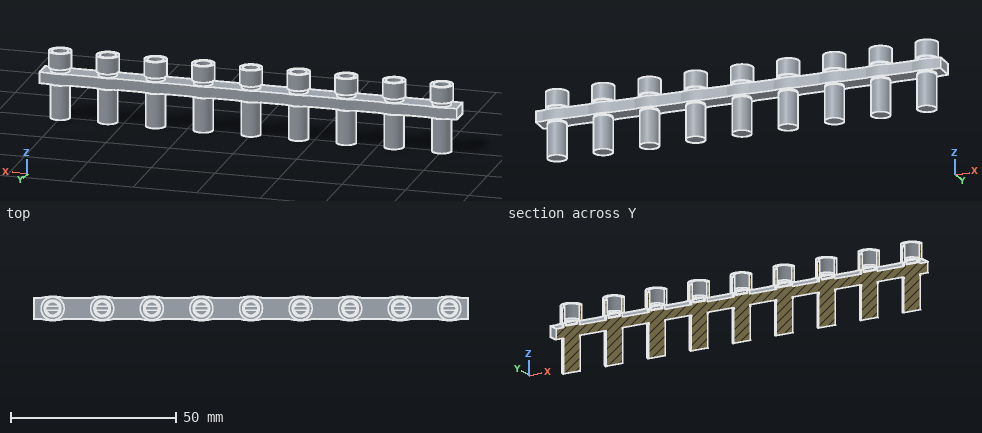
import cadquery as cq

bar_length = 131.4
bar_width = 6.5
bar_height = 3.5
bar_top = 14.8

bulge_length = 7.1
bulge_width = 7.4

screw_count = 9
end_margin = 5.7
screw_height = 21.2
head_diameter = 7.0
head_height = 5.1
shank_diameter = 6.0
neck_diameter = 5.8
neck_overhang = 0.4

socket_diameter = 5.0
socket_depth = 5.1
socket_chamfer = 0.46
slot_width = 1.2
slot_depth = 0.8

bar_bottom = bar_top - bar_height
head_bottom = screw_height - head_height
neck_bottom = bar_bottom - neck_overhang
socket_floor = screw_height - socket_depth
floor_diameter = socket_diameter - 2 * socket_chamfer

first_screw_x = end_margin - bar_length / 2
screw_pitch = (bar_length - 2 * end_margin) / (screw_count - 1)
screw_positions = [(first_screw_x + i * screw_pitch, 0) for i in range(screw_count)]


def disc(diameter, bottom, top):
    """Upright cylinder on the Z axis between two heights."""
    return cq.Workplane("XY").workplane(offset=bottom).circle(diameter / 2).extrude(top - bottom)


def make_bar():
    """Flat bar whose sides bow outward in shallow arcs beside every screw."""
    half_length = bulge_length / 2
    half_width = bar_width / 2
    crest = bulge_width / 2
    bar = cq.Workplane("XY").box(bar_length, bar_width, bar_height, centered=(True, True, False))
    bulge = (
        cq.Workplane("XY")
        .moveTo(-half_length, -half_width)
        .threePointArc((0, -crest), (half_length, -half_width))
        .lineTo(half_length, half_width)
        .threePointArc((0, crest), (-half_length, half_width))
        .close()
        .extrude(bar_height)
    )
    for x, y in screw_positions:
        bar = bar.union(bulge.translate((x, y, 0)))
    return bar.translate((0, 0, bar_bottom))


def make_screw():
    """Cylindrical screw with a head, a neck and a plain shank."""
    shank = disc(shank_diameter, 0, neck_bottom)
    neck = disc(neck_diameter, neck_bottom, head_bottom)
    head = disc(head_diameter, head_bottom, screw_height)
    return shank.union(neck).union(head)


def make_socket():
    """Round blind socket with a bevelled floor and a driver slot across it."""
    bore = disc(socket_diameter, socket_floor, screw_height).faces("<Z").chamfer(socket_chamfer)
    slot = (
        cq.Workplane("XY")
        .box(floor_diameter, slot_width, slot_depth, centered=(True, True, False))
        .translate((0, 0, socket_floor - slot_depth))
        .intersect(disc(floor_diameter, socket_floor - slot_depth, socket_floor))
    )
    return bore.union(slot)


result = make_bar()
screw = make_screw()
socket = make_socket()
for x, y in screw_positions:
    result = result.union(screw.translate((x, y, 0)))
    result = result.cut(socket.translate((x, y, 0)))